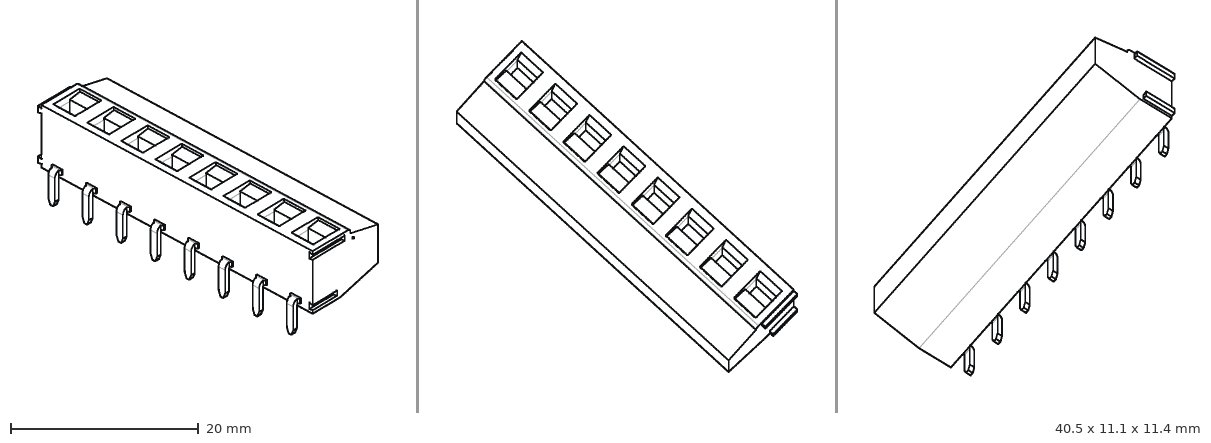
import cadquery as cq

POLE_COUNT = 8
TOTAL_LENGTH = 40.5
RAIL_PROJECTION = 0.53
NUB_RADIUS = 0.12
BODY_LENGTH = TOTAL_LENGTH - RAIL_PROJECTION - NUB_RADIUS
PITCH = 5.0
FIRST_POLE_X = (BODY_LENGTH - PITCH * (POLE_COUNT - 1)) / 2

BODY_DEPTH = 10.12
BODY_HEIGHT = 8.1
BACK_BEVEL_DROP = 1.58
STEP_Y = 5.85
STEP_FOOT_Y = 5.87
STEP_DROP = 0.6
STEP_RADIUS = 0.35
BOTTOM_FLAT = 4.25

RAIL_HEAD_HEIGHT = 0.85
RAIL_NARROWING = 0.1
RAIL_INSET = 0.79
TOP_RAIL_LENGTH = 5.0
BOTTOM_RAIL_LENGTH = 3.75
RAILS = [
    (BODY_HEIGHT - RAIL_INSET, TOP_RAIL_LENGTH),
    (RAIL_INSET, BOTTOM_RAIL_LENGTH),
]

NUB_Y = 6.25
NUB_Z = 6.72

WELL_FRONT = 0.97
WELL_BACK = 5.02
WELL_WIDTH = 3.2
WELL_DEPTH = 4.05
FUNNEL_DEPTH = 0.73
SHAFT_FRONT = 1.7
SHAFT_WIDTH = 2.9
LEDGE_FRONT = 3.4
LEDGE_BACK_DEPTH = 0.35
LEDGE_FRONT_DEPTH = 0.55

PIN_WIDTH = 0.97
PIN_THICKNESS = 0.6
PIN_TOP = 1.2
PIN_REACH = 0.97
PIN_DROP = 3.3
BEND_RADIUS = 0.73
BEND_INNER_RADIUS = BEND_RADIUS - PIN_THICKNESS
TIP_LENGTH = 0.73
TIP_WIDTH = 0.4
SHOULDER_WIDTH = 1.5
SHOULDER_STRAIGHT = 0.2
SHOULDER_REACH = 0.35
BEND_START = PIN_REACH - BEND_RADIUS


def make_housing():
    """Bevelled bar whose raised front part ends in a rounded step."""
    return (
        cq.Workplane("YZ")
        .moveTo(0, 0)
        .lineTo(BOTTOM_FLAT, 0)
        .lineTo(BODY_DEPTH, BACK_BEVEL_DROP)
        .lineTo(BODY_DEPTH, BODY_HEIGHT - BACK_BEVEL_DROP)
        .lineTo(STEP_FOOT_Y, BODY_HEIGHT - STEP_DROP)
        .lineTo(STEP_Y, BODY_HEIGHT - STEP_RADIUS)
        .radiusArc((STEP_Y - STEP_RADIUS, BODY_HEIGHT), -STEP_RADIUS)
        .lineTo(0, BODY_HEIGHT)
        .close()
        .extrude(BODY_LENGTH)
    )


def make_dovetail(root_x, z_center, length):
    """Dovetail bar along Y, widening from its root towards -X."""
    head_half = RAIL_HEAD_HEIGHT / 2
    root_half = head_half - RAIL_NARROWING
    head_x = root_x - RAIL_PROJECTION
    return (
        cq.Workplane("XZ")
        .polyline([
            (root_x, z_center - root_half),
            (root_x, z_center + root_half),
            (head_x, z_center + head_half),
            (head_x, z_center - head_half),
        ])
        .close()
        .extrude(-length)
    )


def make_well(x_center):
    """Wire well: funnel mouth, straight shaft and a sloping ledge left standing at the back."""
    mouth_length = WELL_BACK - WELL_FRONT
    shaft_length = WELL_BACK - SHAFT_FRONT
    mouth_center_y = WELL_BACK - mouth_length / 2
    shaft_center_y = WELL_BACK - shaft_length / 2
    funnel = (
        cq.Workplane("XY", origin=(x_center, mouth_center_y, BODY_HEIGHT))
        .rect(WELL_WIDTH, mouth_length)
        .workplane(offset=-FUNNEL_DEPTH)
        .center(0, shaft_center_y - mouth_center_y)
        .rect(SHAFT_WIDTH, shaft_length)
        .loft(ruled=True)
    )
    shaft = (
        cq.Workplane("XY", origin=(x_center, shaft_center_y, BODY_HEIGHT - WELL_DEPTH))
        .rect(SHAFT_WIDTH, shaft_length)
        .extrude(WELL_DEPTH - FUNNEL_DEPTH)
    )
    ledge = (
        cq.Workplane("YZ", origin=(x_center, 0, BODY_HEIGHT))
        .polyline([
            (WELL_BACK, -WELL_DEPTH),
            (WELL_BACK, -LEDGE_BACK_DEPTH),
            (LEDGE_FRONT, -LEDGE_FRONT_DEPTH),
            (LEDGE_FRONT, -WELL_DEPTH),
        ])
        .close()
        .extrude(WELL_WIDTH / 2, both=True)
    )
    return funnel.union(shaft).cut(ledge)


def make_pin(x_center):
    """Pin leaving the front face, bent downwards, with a pointed tip and a wide shoulder."""
    bend_z = PIN_TOP - BEND_RADIUS
    side = (
        cq.Workplane("YZ", origin=(x_center, 0, 0))
        .moveTo(0, PIN_TOP)
        .lineTo(-BEND_START, PIN_TOP)
        .radiusArc((-PIN_REACH, bend_z), -BEND_RADIUS)
        .lineTo(-PIN_REACH, -PIN_DROP)
        .lineTo(PIN_THICKNESS - PIN_REACH, -PIN_DROP)
        .lineTo(PIN_THICKNESS - PIN_REACH, bend_z)
        .radiusArc((-BEND_START, PIN_TOP - PIN_THICKNESS), BEND_INNER_RADIUS)
        .lineTo(0, PIN_TOP - PIN_THICKNESS)
        .close()
        .extrude(SHOULDER_WIDTH / 2, both=True)
    )
    front = (
        cq.Workplane("XZ", origin=(x_center, 0, 0))
        .polyline([
            (-PIN_WIDTH / 2, PIN_TOP),
            (-PIN_WIDTH / 2, TIP_LENGTH - PIN_DROP),
            (-TIP_WIDTH / 2, -PIN_DROP),
            (TIP_WIDTH / 2, -PIN_DROP),
            (PIN_WIDTH / 2, TIP_LENGTH - PIN_DROP),
            (PIN_WIDTH / 2, PIN_TOP),
        ])
        .close()
        .extrude(PIN_REACH)
    )
    shoulder = (
        cq.Workplane("XY", origin=(x_center, 0, PIN_TOP - PIN_THICKNESS))
        .polyline([
            (-SHOULDER_WIDTH / 2, 0),
            (-SHOULDER_WIDTH / 2, -SHOULDER_STRAIGHT),
            (-PIN_WIDTH / 2, -SHOULDER_REACH),
            (PIN_WIDTH / 2, -SHOULDER_REACH),
            (SHOULDER_WIDTH / 2, -SHOULDER_STRAIGHT),
            (SHOULDER_WIDTH / 2, 0),
        ])
        .close()
        .extrude(PIN_THICKNESS)
    )
    return side.intersect(front.union(shoulder))


result = make_housing()

for rail_z, rail_length in RAILS:
    result = result.union(make_dovetail(0, rail_z, rail_length))
    result = result.cut(make_dovetail(BODY_LENGTH, rail_z, rail_length))

result = result.union(cq.Workplane("XY", origin=(BODY_LENGTH, NUB_Y, NUB_Z)).sphere(NUB_RADIUS))

for pole in range(POLE_COUNT):
    pole_x = FIRST_POLE_X + pole * PITCH
    result = result.cut(make_well(pole_x))
    result = result.union(make_pin(pole_x))